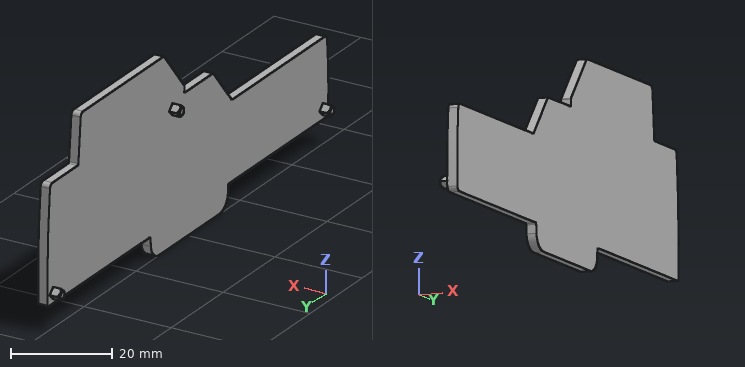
import cadquery as cq
import math

LENGTH = 108.11
HEIGHT = 42.3
PLATE_THICKNESS = 2.2
Y_MAX = LENGTH / 2
Y_MIN = -LENGTH / 2

BODY_BOTTOM = 5.2
LOW_TOP = 22.9
SHOULDER_TOP = 31.4
UPPER_SLOPE_BOTTOM = 33.0

BACK_END_RADIUS = 200.0
FRONT_END_RADIUS = 120.0
END_BULGE_HEIGHT = 11.0

TOWER_BACK_Y = Y_MAX - 11.85
TOWER_BACK_LEAN = 1.0
TOWER_FRONT_Y = Y_MAX - 52.65
SHOULDER_FRONT_Y = Y_MAX - 63.8
SLOPE_ANGLE = math.radians(50)

LIP_WIDTH = 30.0
LIP_CENTER_Y = Y_MAX - 54.6
LIP_SIDE_LEAN = 0.4

TOP_CORNER_RADIUS = 1.0
LOWER_FRONT_RADIUS = 1.0
LOWER_BACK_RADIUS = 0.5
LIP_CORNER_RADIUS = 3.4
STEP_RADIUS = 0.3

PIN_LENGTH = 2.2
PIN_DIAGONAL = 2.6
PIN_CHAMFER = 0.5
LOWER_PIN_Z = 7.5
UPPER_PIN_Z = 29.6
PIN_POSITIONS = [
    (Y_MAX - 2.15, LOWER_PIN_Z),
    (Y_MAX - 48.1, UPPER_PIN_Z),
    (Y_MIN + 2.2, LOWER_PIN_Z),
]


def end_inset(radius, z):
    """Distance of a bowed end at height z behind its furthest point."""
    return radius - math.sqrt(radius**2 - (z - END_BULGE_HEIGHT) ** 2)


def slope_run(drop):
    """Length along Y over which a sloped edge falls by the given drop."""
    return drop / math.tan(SLOPE_ANGLE)


def back_end(z):
    return (Y_MAX - end_inset(BACK_END_RADIUS, z), z)


def front_end(z):
    return (Y_MIN + end_inset(FRONT_END_RADIUS, z), z)


def make_plate():
    lip_back = LIP_CENTER_Y + LIP_WIDTH / 2
    lip_front = LIP_CENTER_Y - LIP_WIDTH / 2
    tower_top_back = (TOWER_BACK_Y - TOWER_BACK_LEAN, HEIGHT)
    tower_top_front = (TOWER_FRONT_Y + slope_run(HEIGHT - UPPER_SLOPE_BOTTOM), HEIGHT)
    low_slope_end = (SHOULDER_FRONT_Y - slope_run(SHOULDER_TOP - LOW_TOP), LOW_TOP)
    tower_root_back = (TOWER_BACK_Y, SHOULDER_TOP)
    tower_root_front = (TOWER_FRONT_Y, SHOULDER_TOP)
    upper_slope_end = (TOWER_FRONT_Y, UPPER_SLOPE_BOTTOM)
    shoulder_front = (SHOULDER_FRONT_Y, SHOULDER_TOP)
    lip_root_back = (lip_back, BODY_BOTTOM)
    lip_root_front = (lip_front, BODY_BOTTOM)
    lip_bottom_back = (lip_back - LIP_SIDE_LEAN, 0)
    lip_bottom_front = (lip_front + LIP_SIDE_LEAN, 0)

    plate = (
        cq.Workplane("YZ")
        .moveTo(*back_end(BODY_BOTTOM))
        .threePointArc(back_end(END_BULGE_HEIGHT), back_end(SHOULDER_TOP))
        .lineTo(*tower_root_back)
        .lineTo(*tower_top_back)
        .lineTo(*tower_top_front)
        .lineTo(*upper_slope_end)
        .lineTo(*tower_root_front)
        .lineTo(*shoulder_front)
        .lineTo(*low_slope_end)
        .lineTo(*front_end(LOW_TOP))
        .threePointArc(front_end(END_BULGE_HEIGHT), front_end(BODY_BOTTOM))
        .lineTo(*lip_root_front)
        .lineTo(*lip_bottom_front)
        .lineTo(*lip_bottom_back)
        .lineTo(*lip_root_back)
        .close()
        .extrude(PLATE_THICKNESS)
    )

    rounded_corners = [
        (TOP_CORNER_RADIUS, [back_end(SHOULDER_TOP), tower_top_back, front_end(LOW_TOP)]),
        (STEP_RADIUS, [tower_root_back, tower_top_front, upper_slope_end, tower_root_front]),
        (STEP_RADIUS, [shoulder_front, low_slope_end, lip_root_front, lip_root_back]),
        (LOWER_BACK_RADIUS, [back_end(BODY_BOTTOM)]),
        (LOWER_FRONT_RADIUS, [front_end(BODY_BOTTOM)]),
        (LIP_CORNER_RADIUS, [lip_bottom_back, lip_bottom_front]),
    ]
    for radius, corners in rounded_corners:
        for y, z in corners:
            corner_edge = cq.selectors.NearestToPointSelector((PLATE_THICKNESS / 2, y, z))
            plate = plate.edges("|X").edges(corner_edge).fillet(radius)
    return plate


def make_pins():
    """Square pins whose free corners are turned down by a conical chamfer."""
    layout = cq.Workplane("YZ").pushPoints(PIN_POSITIONS)
    square_bars = layout.polygon(4, PIN_DIAGONAL).extrude(-PIN_LENGTH)
    chamfered_rods = layout.circle(PIN_DIAGONAL / 2).extrude(-PIN_LENGTH).faces("<X").chamfer(PIN_CHAMFER)
    return square_bars.intersect(chamfered_rods)


result = make_plate().union(make_pins())